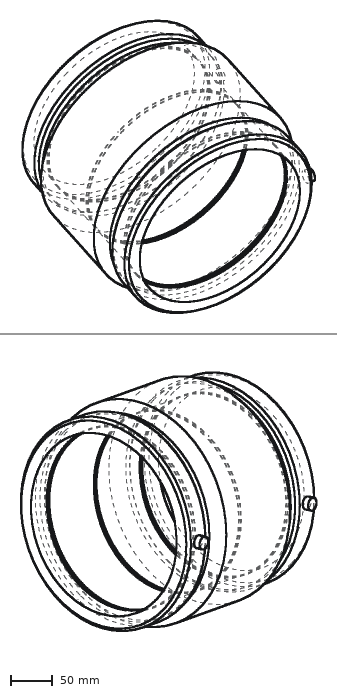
import cadquery as cq

length = 240.0
half_length = length / 2
barrel_diameter = 280.0
collar_diameter = 263.2
groove_diameter = 255.5
bore_diameter = 225.0
rib_diameter = 223.0

edge_chamfer = (collar_diameter - groove_diameter) / 2
collar_end = 31.5
groove_start = collar_end + edge_chamfer
groove_end = 43.5
barrel_start = 60.2

ring_groove_start = 30.5
ring_groove_width = 4.0
ring_groove_diameter = 227.5
rib_width = 4.0

nipple_from_end = 18.0
nipple_diameter = 16.0


def revolve_symmetric(left_profile):
    """Mirror a half profile of (x, radius) points about X = 0 and turn it about the X axis."""
    right_profile = [(-x, radius) for x, radius in reversed(left_profile)]
    outline = [(-half_length, 0)] + left_profile + right_profile + [(half_length, 0)]
    return cq.Workplane("XY").polyline(outline).close().revolve(360, (0, 0), (1, 0))


def sleeve_outside():
    """Solid of revolution: two grooved collars joined to the barrel by cones."""
    left_profile = [
        (-half_length, groove_diameter / 2),
        (-half_length + edge_chamfer, collar_diameter / 2),
        (-half_length + collar_end, collar_diameter / 2),
        (-half_length + groove_start, groove_diameter / 2),
        (-half_length + groove_end, groove_diameter / 2),
        (-half_length + barrel_start, barrel_diameter / 2),
    ]
    return revolve_symmetric(left_profile)


def bore():
    """Through bore with two square ring grooves and a square rib at X = 0."""
    near_wall = -half_length + ring_groove_start
    far_wall = near_wall + ring_groove_width
    left_profile = [
        (-half_length, bore_diameter / 2),
        (near_wall, bore_diameter / 2),
        (near_wall, ring_groove_diameter / 2),
        (far_wall, ring_groove_diameter / 2),
        (far_wall, bore_diameter / 2),
        (-rib_width / 2, bore_diameter / 2),
        (-rib_width / 2, rib_diameter / 2),
    ]
    return revolve_symmetric(left_profile)


def nipple(x):
    """Round stub that starts inside the wall and points along +Y."""
    base_y = (collar_diameter + bore_diameter) / 4
    height = barrel_diameter / 2 - base_y
    return cq.Workplane("XZ", origin=(x, base_y, 0)).circle(nipple_diameter / 2).extrude(-height)


result = sleeve_outside().cut(bore())
for side in (-1, 1):
    result = result.union(nipple(side * (half_length - nipple_from_end)))